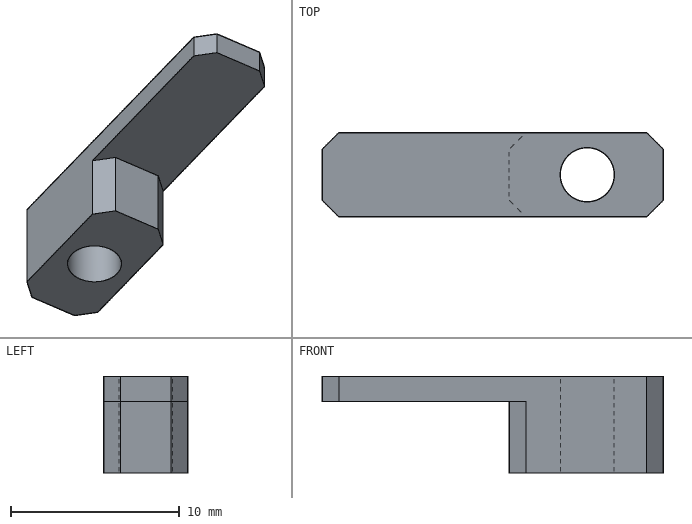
import cadquery as cq

length = 20.22
width = 5.0
height = 5.75
plate_thickness = 1.5
block_length = 9.14
corner_chamfer = 1.0
hole_diameter = 3.2
hole_to_block_end = 4.5

block_center_x = (length - block_length) / 2
hole_x = length / 2 - hole_to_block_end


def chamfered_bar(bar_length, bar_height, center_x, base_z):
    """Rectangular bar with its four vertical corners chamfered."""
    return (
        cq.Workplane("XY")
        .box(bar_length, width, bar_height, centered=(True, True, False))
        .edges("|Z")
        .chamfer(corner_chamfer)
        .translate((center_x, 0, base_z))
    )


plate = chamfered_bar(length, plate_thickness, 0, height - plate_thickness)
block = chamfered_bar(block_length, height, block_center_x, 0)

hole = (
    cq.Workplane("XY")
    .center(hole_x, 0)
    .circle(hole_diameter / 2)
    .extrude(height)
)

result = plate.union(block).cut(hole)